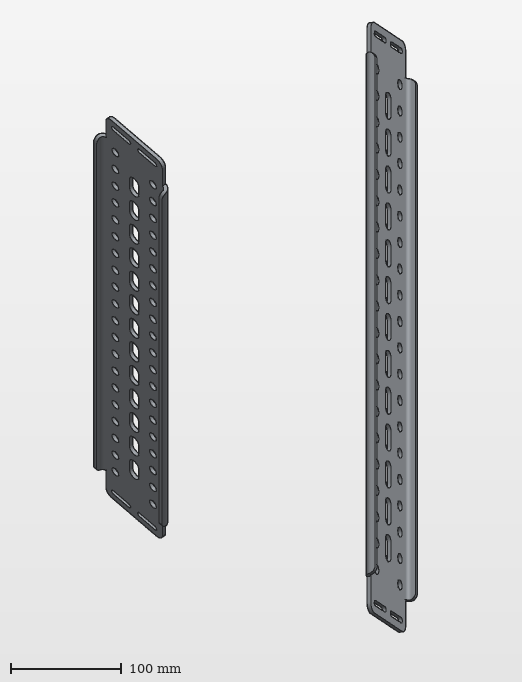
import cadquery as cq

LENGTH = 561.0
WIDTH = 91.0
DEPTH = 12.0

THICKNESS = 4.0
BEND_RADIUS = 8.0
FLANGE_LENGTH = 495.5
FLANGE_CORNER_RADIUS = 7.0
WEB_WIDTH = WIDTH - 2 * BEND_RADIUS
WEB_CORNER_RADIUS = 8.0

HOLE_DIAMETER = 9.0
HOLE_ROWS = 20
HOLE_ROW_SPAN = 475.0
HOLE_COLUMN_SPACING = 50.0

SLOT_LENGTH = 25.0
SLOT_WIDTH = 12.0
SLOT_COUNT = 13
SLOT_SPAN = 420.0

END_SLOT_LENGTH = 25.0
END_SLOT_WIDTH = 5.0
END_SLOT_SPACING = 35.0
END_SLOT_INSET = 10.0

BACK_Y = DEPTH / 2
FRONT_Y = -DEPTH / 2


def make_channel():
    """U-shaped bent section, with rounded free corners on both flanges."""
    outer = (
        cq.Workplane("XY")
        .box(WIDTH, DEPTH, FLANGE_LENGTH)
        .edges("|Z and >Y")
        .fillet(BEND_RADIUS)
    )
    inner = (
        cq.Workplane("XY")
        .box(WIDTH - 2 * THICKNESS, DEPTH, FLANGE_LENGTH)
        .edges("|Z and >Y")
        .fillet(BEND_RADIUS - THICKNESS)
        .translate((0, -THICKNESS, 0))
    )
    side_outline = (
        cq.Workplane("XY")
        .box(WIDTH, DEPTH, FLANGE_LENGTH)
        .edges("|X and <Y")
        .fillet(FLANGE_CORNER_RADIUS)
    )
    return outer.cut(inner).intersect(side_outline)


def make_web():
    """Flat plate that runs past both ends of the flanges."""
    return (
        cq.Workplane("XY")
        .box(WEB_WIDTH, THICKNESS, LENGTH)
        .edges("|Y")
        .fillet(WEB_CORNER_RADIUS)
        .translate((0, BACK_Y - THICKNESS / 2, 0))
    )


def centred_positions(span, count):
    """Evenly spaced coordinates about zero."""
    return [-span / 2 + i * span / (count - 1) for i in range(count)]


def front_plane():
    """Workplane in front of the part, with local axes along X and Z."""
    return cq.Workplane("XZ", origin=(0, FRONT_Y, 0))


def make_holes():
    points = [
        (x, z)
        for x in centred_positions(HOLE_COLUMN_SPACING, 2)
        for z in centred_positions(HOLE_ROW_SPAN, HOLE_ROWS)
    ]
    return front_plane().pushPoints(points).circle(HOLE_DIAMETER / 2).extrude(-DEPTH)


def make_slots():
    points = [(0, z) for z in centred_positions(SLOT_SPAN, SLOT_COUNT)]
    return front_plane().pushPoints(points).slot2D(SLOT_LENGTH, SLOT_WIDTH, 90).extrude(-DEPTH)


def make_end_slots():
    points = [
        (x, z)
        for x in centred_positions(END_SLOT_SPACING, 2)
        for z in centred_positions(LENGTH - 2 * END_SLOT_INSET, 2)
    ]
    return front_plane().pushPoints(points).slot2D(END_SLOT_LENGTH, END_SLOT_WIDTH).extrude(-DEPTH)


body = make_channel().union(make_web())
result = body.cut(make_holes()).cut(make_slots()).cut(make_end_slots())